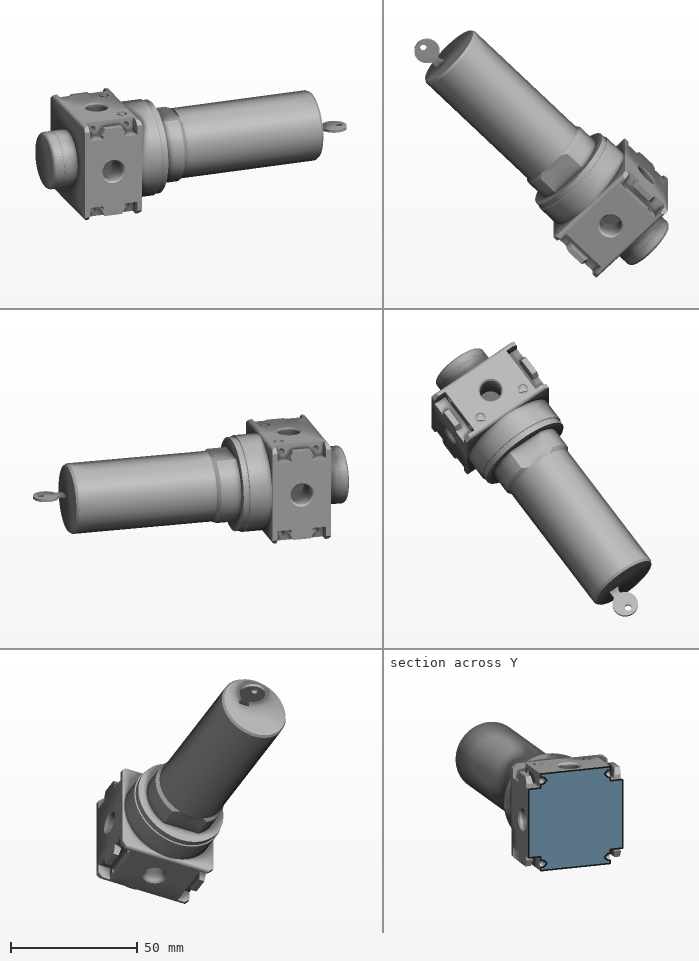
import cadquery as cq


overall_length = 125.5

body_width = 40.0
body_length = 24.0
body_edge_radius = 1.5
ear_bevel_width = 2.0
ear_bevel_height = 1.9

pocket_depth = 5.1
pocket_height = 5.8
pocket_wall = 2.0
tongue_thickness = 2.8
tongue_drop = 1.5
tongue_top_width = 7.3
tongue_shoulder_width = 9.9
tongue_shoulder_drop = 4.3
tongue_neck_width = 8.7
tongue_back_slope = 0.5

seat_diameter = 2.6
seat_depth = 1.3
seat_pitch = 14.0
seat_drop = 2.9

port_diameter = 8.5
port_mouth_diameter = 9.8
port_depth = 12.5

mark_diameter = 4.1
mark_depth = 0.6
mark_corners = 3
mark_places_x = (-10.8, 9.9)
mark_y = 19.1

button_diameter = 23.0
button_length = 10.0
button_rounding = 1.5
button_groove_y = -6.0
button_groove_width = 0.4
button_groove_depth = 0.1

bonnet_diameter = 38.5
bonnet_length = 9.2
bonnet_chamfer = 0.3
collar_diameter = 37.5
collar_length = 2.4
nut_diameter = 30.1
nut_length = 9.7
nut_flats = 26.1
nut_end_diameter = 28.0
nut_chamfer_length = 1.5
housing_diameter = 28.1
housing_end_y = 102.8
housing_chamfer_length = 1.0
housing_chamfer = 0.6

key_x = 4.8
key_end_y = overall_length - button_length
key_diameter = 10.0
key_thickness = 1.1
key_hole_diameter = 2.6
key_hole_inset = 3.0
key_stem_left = -1.1
key_stem_right = 2.1
key_stem_flare = 0.8
key_flare_start = 1.6
key_flare_end = 0.4

half_width = body_width / 2
body_middle_y = body_length / 2
bonnet_end_y = body_length + bonnet_length
collar_end_y = bonnet_end_y + collar_length
nut_end_y = collar_end_y + nut_length
key_center_y = key_end_y - key_diameter / 2


def turned(points):
    """Revolve a (radius, y) outline about the Y axis."""
    return cq.Workplane("XY").polyline(points).close().revolve(360, (0, 0, 0), (0, 1, 0))


def cylinder_y(diameter, start_y, end_y):
    return turned([(0, start_y), (diameter / 2, start_y), (diameter / 2, end_y), (0, end_y)])


def tongue():
    """Clamping tongue standing in the upper pocket of the -X side."""
    top = half_width - tongue_drop
    shoulder = half_width - tongue_shoulder_drop
    bottom = half_width - pocket_height
    half_outline = [
        (tongue_neck_width / 2, bottom),
        (tongue_neck_width / 2, shoulder),
        (tongue_shoulder_width / 2, shoulder),
        (tongue_top_width / 2, top),
    ]
    outline = half_outline + [(-y, z) for y, z in reversed(half_outline)]
    prism = cq.Workplane("YZ").polyline(outline).close().extrude(tongue_thickness)
    side_outline = [
        (0, bottom),
        (tongue_thickness, bottom),
        (tongue_thickness, shoulder),
        (tongue_thickness - tongue_back_slope, top),
        (0, top),
    ]
    half_length = tongue_shoulder_width / 2
    side_prism = cq.Workplane("XZ").polyline(side_outline).close().extrude(half_length, both=True)
    return prism.intersect(side_prism).translate((-half_width, body_middle_y, 0))


def screw_seat():
    """Cutter for a blind hole along +X with a conical end."""
    radius = seat_diameter / 2
    outline = [(0, 0), (0, radius), (seat_depth, radius), (seat_depth + radius, 0)]
    return cq.Workplane("XY").polyline(outline).close().revolve(360, (0, 0, 0), (1, 0, 0))


def pocket():
    """Cutter for the upper pocket of the -X side, with the screw seats in its floor."""
    length = body_length - 2 * pocket_wall
    cutter = (
        cq.Workplane("XY")
        .box(pocket_depth, length, pocket_height, centered=(False, True, False))
        .translate((-half_width, body_middle_y, half_width - pocket_height))
    )
    for side in (-1, 1):
        place = (pocket_depth - half_width, body_middle_y + side * seat_pitch / 2, half_width - seat_drop)
        cutter = cutter.union(screw_seat().translate(place))
    return cutter


def corner_cutter():
    """Cutter that bevels the upper -X edge of the body along Y."""
    left = -half_width
    top = half_width
    outline = [(left, top), (left, top - ear_bevel_height), (left + ear_bevel_width, top)]
    return cq.Workplane("XZ").polyline(outline).close().extrude(-body_length)


def on_four_corners(shape):
    """Repeat a shape of the upper -X edge on all four long edges of the body."""
    left_pair = shape.union(shape.mirror("XY"))
    return left_pair.union(left_pair.mirror("YZ"))


def port():
    """Cutter for the port in the top face."""
    drill = port_diameter / 2
    mouth = port_mouth_diameter / 2
    outline = [
        (0, half_width - port_depth),
        (drill, half_width - port_depth),
        (drill, half_width - (mouth - drill)),
        (mouth, half_width),
        (0, half_width),
    ]
    cutter = cq.Workplane("XZ").polyline(outline).close().revolve(360, (0, 0, 0), (0, 1, 0))
    return cutter.translate((0, body_middle_y, 0))


def arrow_mark(x):
    """Cutter for a sunken disc around a flush triangle that points to +X."""
    radius = mark_diameter / 2
    plane = cq.Workplane("XY", origin=(x, mark_y, half_width - mark_depth))
    triangle = plane.polygon(mark_corners, mark_diameter).extrude(mark_depth)
    return plane.circle(radius).extrude(mark_depth).cut(triangle)


def valve_body():
    body = cq.Workplane("XY").box(body_width, body_length, body_width, centered=(True, False, True))
    body = body.faces("<Y or >Y").edges("|X").fillet(body_edge_radius)
    body = body.cut(on_four_corners(corner_cutter()))
    body = body.cut(on_four_corners(pocket())).union(on_four_corners(tongue()))
    for angle in (0, 90, 180, 270):
        body = body.cut(port().rotate((0, 0, 0), (0, 1, 0), angle))
    for x in mark_places_x:
        body = body.cut(arrow_mark(x))
    return body


def button():
    knob = cylinder_y(button_diameter, -button_length, 0).faces("<Y").edges().fillet(button_rounding)
    groove_end_y = button_groove_y + button_groove_width
    groove = cylinder_y(button_diameter, button_groove_y, groove_end_y)
    core = cylinder_y(button_diameter - 2 * button_groove_depth, button_groove_y, groove_end_y)
    return knob.cut(groove.cut(core))


def bonnet():
    """Drum that starts inside the rounded body edge, with a narrower collar behind it."""
    drum = cylinder_y(bonnet_diameter, body_length - body_edge_radius, bonnet_end_y)
    drum = drum.faces(">Y").edges().chamfer(bonnet_chamfer)
    return drum.union(cylinder_y(collar_diameter, bonnet_end_y, collar_end_y))


def nut():
    """Round nut with a bevelled end and flats facing +Z and -Z."""
    outline = [
        (0, collar_end_y),
        (nut_diameter / 2, collar_end_y),
        (nut_diameter / 2, nut_end_y - nut_chamfer_length),
        (nut_end_diameter / 2, nut_end_y),
        (0, nut_end_y),
    ]
    slab = cq.Workplane("XY").box(nut_diameter, nut_length, nut_flats, centered=(True, False, True))
    return turned(outline).intersect(slab.translate((0, collar_end_y, 0)))


def housing():
    radius = housing_diameter / 2
    outline = [
        (0, nut_end_y),
        (radius, nut_end_y),
        (radius, housing_end_y - housing_chamfer_length),
        (radius - housing_chamfer, housing_end_y),
        (0, housing_end_y),
    ]
    return turned(outline)


def key():
    """Flat key with a round bow and a stem that reaches the housing end."""
    plane = cq.Workplane("XY", origin=(key_x, 0, -key_thickness / 2))
    stem = plane.polyline([
        (key_stem_right, key_center_y),
        (key_stem_left, key_center_y),
        (key_stem_left, housing_end_y + key_flare_start),
        (key_stem_left - key_stem_flare, housing_end_y + key_flare_end),
        (key_stem_left - key_stem_flare, housing_end_y),
        (key_stem_right, housing_end_y),
    ]).close().extrude(key_thickness)
    bow = plane.center(0, key_center_y).circle(key_diameter / 2).extrude(key_thickness)
    hole = plane.center(0, key_end_y - key_hole_inset).circle(key_hole_diameter / 2).extrude(key_thickness)
    return bow.union(stem).cut(hole)


result = valve_body()
for piece in (button(), bonnet(), nut(), housing(), key()):
    result = result.union(piece)